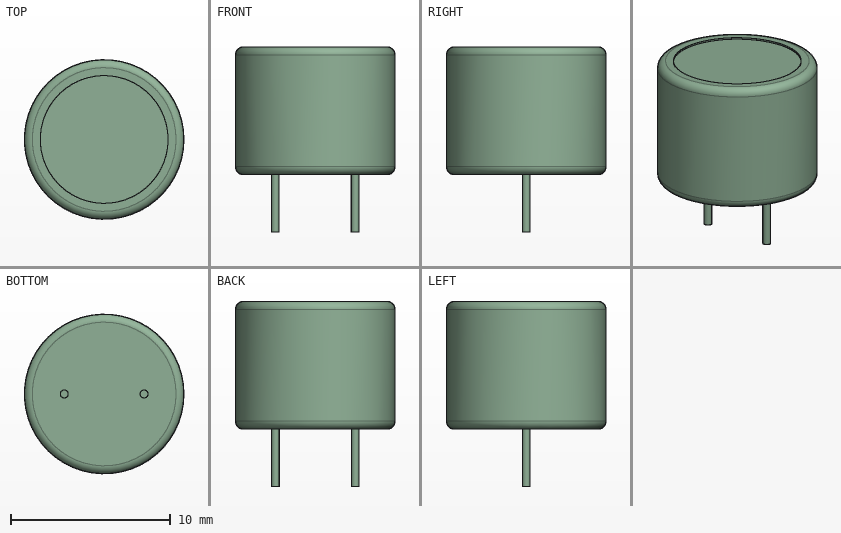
import cadquery as cq

TOTAL_HEIGHT = 11.6
HOUSING_HEIGHT = 8.0
HOUSING_DIAMETER = 10.0
EDGE_RADIUS = 0.5

PLATE_DIAMETER = 8.0
PLATE_THICKNESS = 0.5
PLATE_SETBACK = 0.1

PIN_DIAMETER = 0.5
PIN_PITCH = 5.0
PIN_LENGTH = TOTAL_HEIGHT - HOUSING_HEIGHT

PLATE_TOP = HOUSING_HEIGHT - PLATE_SETBACK
PLATE_BOTTOM = PLATE_TOP - PLATE_THICKNESS


def cylinder(diameter, bottom, height):
    """Upright cylinder on the Z axis, starting at the given level."""
    return cq.Workplane("XY").workplane(offset=bottom).circle(diameter / 2).extrude(height)


def make_housing():
    """Round housing with rounded outer rims and a seat for the face plate."""
    rounded_body = cylinder(HOUSING_DIAMETER, 0, HOUSING_HEIGHT).edges("%CIRCLE").fillet(EDGE_RADIUS)
    plate_seat = cylinder(PLATE_DIAMETER, PLATE_BOTTOM, HOUSING_HEIGHT - PLATE_BOTTOM)
    return rounded_body.cut(plate_seat)


def make_face_plate():
    """Flat disc filling the seat to just below the housing rim."""
    return cylinder(PLATE_DIAMETER, PLATE_BOTTOM, PLATE_THICKNESS)


def make_pin(x):
    """Straight round lead that ends flush against the housing underside."""
    return cylinder(PIN_DIAMETER, -PIN_LENGTH, PIN_LENGTH).translate((x, 0, 0))


housing = make_housing()
face_plate = make_face_plate()
pins = [make_pin(side * PIN_PITCH / 2) for side in (-1, 1)]

result = cq.Compound.makeCompound(
    [housing.val(), face_plate.val(), *[pin.val() for pin in pins]]
)